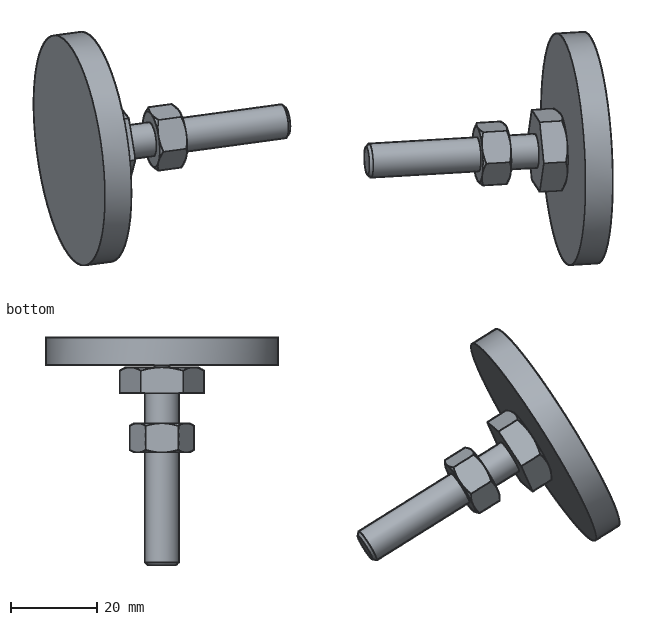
import cadquery as cq
import math


pad_diameter = 54.0
pad_thickness = 6.5

overall_length = 53.0
stud_diameter = 8.0
stud_tip_chamfer = 0.75
collar_across_flats = 17.0
collar_height = 6.0
neck_length = 0.5
neck_pad_diameter = 3.7
neck_collar_diameter = 3.2

nut_across_flats = 13.0
nut_height = 6.75
nut_position = 20.0

hex_sides = 6
hex_chamfer_angle = 30.0

neck_start = pad_thickness
collar_start = neck_start + neck_length
collar_end = collar_start + collar_height


def revolve_about_y(profile):
    """Turn a list of (radius, y) points into a solid about the Y axis."""
    return cq.Workplane("XY").polyline(profile).close().revolve(360, (0, 0, 0), (0, 1, 0))


def hexagon(across_flats, start, height, chamfer_far_end):
    """Hexagonal prism along Y with corners on the X axis, chamfered at its near end or at both ends."""
    flat_radius = across_flats / 2
    corner_radius = flat_radius / math.cos(math.pi / hex_sides)
    chamfer_height = (corner_radius - flat_radius) * math.tan(math.radians(hex_chamfer_angle))
    end = start + height

    prism = (
        cq.Workplane("XZ", origin=(0, start, 0))
        .polygon(hex_sides, 2 * corner_radius)
        .extrude(-height)
    )

    envelope = [(0, start), (flat_radius, start), (corner_radius, start + chamfer_height)]
    if chamfer_far_end:
        envelope += [(corner_radius, end - chamfer_height), (flat_radius, end), (0, end)]
    else:
        envelope += [(corner_radius, end), (0, end)]
    return prism.intersect(revolve_about_y(envelope))


def make_pad():
    return cq.Workplane("XZ").circle(pad_diameter / 2).extrude(-pad_thickness)


def make_stud():
    """Neck, hexagonal collar and round shank as one solid."""
    neck = revolve_about_y([
        (0, neck_start),
        (neck_pad_diameter / 2, neck_start),
        (neck_collar_diameter / 2, collar_start),
        (0, collar_start),
    ])
    collar = hexagon(collar_across_flats, collar_start, collar_height, chamfer_far_end=False)
    shank = (
        cq.Workplane("XZ", origin=(0, collar_end, 0))
        .circle(stud_diameter / 2)
        .extrude(collar_end - overall_length)
        .faces(">Y")
        .chamfer(stud_tip_chamfer)
    )
    return collar.union(neck).union(shank)


def make_nut():
    bore = (
        cq.Workplane("XZ", origin=(0, nut_position, 0))
        .circle(stud_diameter / 2)
        .extrude(-nut_height)
    )
    return hexagon(nut_across_flats, nut_position, nut_height, chamfer_far_end=True).cut(bore)


pad = make_pad()
stud = make_stud()
nut = make_nut()

result = cq.Compound.makeCompound([body.solids().val() for body in (pad, stud, nut)])